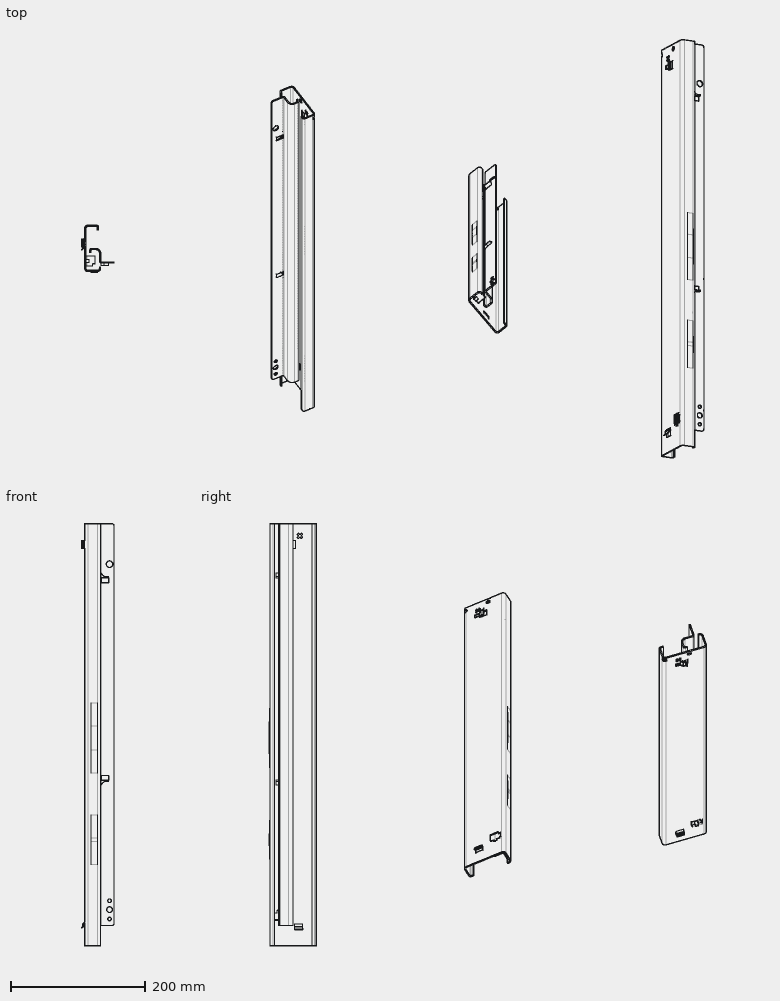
import cadquery as cq
import math

LENGTH = 630.0
SHEET = 2.0
CHANNEL_DEPTH = 69.0
TOP_FLANGE_WIDTH = 21.0
BOTTOM_FLANGE_WIDTH = 24.0
BACK_LIP = 7.0
FRONT_LIP = 7.0
CHANNEL_BEND = 4.0
LIP_BEND = 2.0

RAIL_BOTTOM = 30.0
RAIL_WALL_X = 22.0
RAIL_TIP_X = 44.0
RAIL_PLATE_Y = 12.5
RAIL_BACK_Y = 34.5
CURL_X = 7.5
CURL_LIP_Y = 28.5
RAIL_BEND = 2.0
CURL_BEND = 6.0
PLATE_CORNER = 4.0

RIB_PROFILES = [(258.0, 292.5, 328.0, 362.0), (121.5, 155.5, 161.0, 195.0)]
RIB_HEIGHT = 1.0
RIB_X = (9.5, 19.0)

HOOK_SIZE = 12.0
HOOK_SHEET = 1.0
HOOK_STANDOFF = 3.0
HOOK_REACH = 5.0
HOOK_RAMP = 4.0
HOOK_FLAT = 4.0
HOOK_FLARE = 2.0
LOWER_HOOK_CENTER = (43.0, 30.0)
UPPER_HOOK_CENTER = (36.0, 598.5)
STRAP_LENGTH = 7.5
STRAP_WIDTH = 5.5

PILOT_DIAMETER = 6.0
PILOT_Z = 622.5
PILOT_YS = (28.0, 66.0)
CROSS_CENTER = (45.0, 612.0)
CROSS_SPAN = 9.0
CROSS_ARM = 2.5

WINDOW_Y = (7.0, 24.5)
WINDOW_Z = (40.0, 53.0)
WINDOW_STEP_Y = 11.0
WINDOW_STEP_Z = 49.0
TAB_REACH = 16.0
TAB_NARROW_REACH = 12.0
TAB_Y = (8.0, 23.0)
TAB_STEP_Y = 11.5
TAB_BEND = 4.0
GUSSET_LEG = 6.0
GUSSET_WIDTH = 5.0
GUSSET_Y = 16.0

PLATE_HOLE_X = 37.0
PLATE_HOLES = [(569.5, 9.5), (67.5, 5.0), (54.0, 8.0), (40.5, 5.0)]
SLOT_END_X = 36.0
SLOT_HEIGHT = 7.0
SLOT_TABS = [(545.5, 1), (251.0, -1)]
SLOT_TAB_DROP = 4.0
BRACE_LEG = 5.0


def box(xs, ys, zs):
    """Box between two limits along each axis."""
    size = [limits[1] - limits[0] for limits in (xs, ys, zs)]
    return cq.Workplane("XY").box(*size, centered=False).translate((xs[0], ys[0], zs[0]))


def unit(start, end):
    """Unit vector from one plan point to another."""
    run = math.dist(start, end)
    return ((end[0] - start[0]) / run, (end[1] - start[1]) / run)


def sheet_side(path, bends, offset):
    """One face of a bent sheet: start, (arc start, arc middle, arc end) per right-angle bend, end."""
    first, last = unit(path[0], path[1]), unit(path[-2], path[-1])
    start = (path[0][0] - offset * first[1], path[0][1] + offset * first[0])
    end = (path[-1][0] - offset * last[1], path[-1][1] + offset * last[0])
    arcs = []
    for before, corner, after, bend in zip(path, path[1:], path[2:], bends):
        into, out = unit(before, corner), unit(corner, after)
        turn = into[0] * out[1] - into[1] * out[0]
        radius = bend - turn * offset
        center = [corner[i] + bend * (out[i] - into[i]) for i in (0, 1)]
        arc_start = tuple(center[i] - radius * out[i] for i in (0, 1))
        arc_end = tuple(center[i] + radius * into[i] for i in (0, 1))
        middle = tuple(center[i] + radius * (into[i] - out[i]) / math.sqrt(2) for i in (0, 1))
        arcs.append((arc_start, middle, arc_end))
    return start, arcs, end


def bent_sheet(path, bends, bottom, top):
    """Sheet of constant thickness whose middle surface follows a plan path with rounded bends."""
    left_start, left_arcs, left_end = sheet_side(path, bends, SHEET / 2)
    right_start, right_arcs, right_end = sheet_side(path, bends, -SHEET / 2)
    outline = cq.Workplane("XY").workplane(offset=bottom).moveTo(*left_start)
    for arc_start, middle, arc_end in left_arcs:
        outline = outline.lineTo(*arc_start).threePointArc(middle, arc_end)
    outline = outline.lineTo(*left_end).lineTo(*right_end)
    for arc_start, middle, arc_end in reversed(right_arcs):
        outline = outline.lineTo(*arc_end).threePointArc(middle, arc_start)
    return outline.lineTo(*right_start).close().extrude(top - bottom)


def channel_profile():
    half = SHEET / 2
    back_y = CHANNEL_DEPTH - half
    back_lip_x = TOP_FLANGE_WIDTH - half
    front_lip_x = BOTTOM_FLANGE_WIDTH - half
    path = [
        (back_lip_x, CHANNEL_DEPTH - BACK_LIP),
        (back_lip_x, back_y),
        (half, back_y),
        (half, half),
        (front_lip_x, half),
        (front_lip_x, FRONT_LIP),
    ]
    return bent_sheet(path, [LIP_BEND] + 3 * [CHANNEL_BEND], 0, LENGTH)


def front_rib(profile):
    """Trapezoidal rib standing on the front flange."""
    base_low, crest_low, crest_high, base_high = profile
    return (
        cq.Workplane("YZ")
        .workplane(offset=RIB_X[0])
        .polyline([
            (SHEET / 2, base_low),
            (0, base_low),
            (-RIB_HEIGHT, crest_low),
            (-RIB_HEIGHT, crest_high),
            (0, base_high),
            (SHEET / 2, base_high),
        ])
        .close()
        .extrude(RIB_X[1] - RIB_X[0])
    )


def hook():
    """Hook centred on the origin of the web's outer face, rooted at +Z, its tongue flaring at -Z."""
    half = HOOK_SIZE / 2
    ramp_z = half - HOOK_RAMP
    flat_z = ramp_z - HOOK_FLAT
    tip_z = flat_z - HOOK_FLARE
    return (
        cq.Workplane("XZ")
        .workplane(offset=-half)
        .polyline([
            (SHEET, half),
            (0, half),
            (-HOOK_STANDOFF, ramp_z),
            (-HOOK_STANDOFF, flat_z),
            (-HOOK_REACH, tip_z),
            (HOOK_SHEET - HOOK_REACH, tip_z),
            (HOOK_SHEET - HOOK_STANDOFF, flat_z),
            (HOOK_SHEET - HOOK_STANDOFF, ramp_z),
            (SHEET, ramp_z),
        ])
        .close()
        .extrude(HOOK_SIZE)
    )


def hook_opening():
    """Opening left in the web behind a hook's tongue."""
    half = HOOK_SIZE / 2
    return box((0, SHEET), (-half, half), (-half, half - HOOK_RAMP))


def at_lower_hook(shape):
    return shape.translate((0, *LOWER_HOOK_CENTER))


def at_upper_hook(shape):
    """Turned so that the root is at +Y and the tongue points to -Y."""
    turned = shape.rotate((0, 0, 0), (1, 0, 0), -90)
    return turned.translate((0, *UPPER_HOOK_CENTER))


def hook_strap():
    """Raised strap leading into the root of the upper hook."""
    root_y = UPPER_HOOK_CENTER[0] + HOOK_SIZE / 2
    mid_z = UPPER_HOOK_CENTER[1]
    zs = (mid_z - STRAP_WIDTH / 2, mid_z + STRAP_WIDTH / 2)
    return box((-HOOK_SHEET, SHEET), (root_y, root_y + STRAP_LENGTH), zs)


def pilot_hole(y):
    cutter = cq.Workplane("YZ").center(y, PILOT_Z).circle(PILOT_DIAMETER / 2)
    return cutter.extrude(2 * SHEET)


def cross_hole():
    """Diagonal cross through the web."""
    arms = cq.Workplane("YZ").center(*CROSS_CENTER)
    rising = arms.transformed(rotate=(0, 0, 45)).rect(CROSS_SPAN, CROSS_ARM).extrude(SHEET)
    falling = arms.transformed(rotate=(0, 0, -45)).rect(CROSS_SPAN, CROSS_ARM).extrude(SHEET)
    return rising.union(falling)


def web_window():
    main = box((0, SHEET), (WINDOW_STEP_Y, WINDOW_Y[1]), WINDOW_Z)
    step = box((0, SHEET), (WINDOW_Y[0], WINDOW_STEP_Y), (WINDOW_Z[0], WINDOW_STEP_Z))
    return main.union(step)


def window_tab():
    zs = (WINDOW_Z[0] - SHEET, WINDOW_Z[0])
    wide = box((SHEET, TAB_REACH), (TAB_STEP_Y, TAB_Y[1]), zs)
    narrow = box((SHEET, TAB_NARROW_REACH), (TAB_Y[0], TAB_STEP_Y), zs)
    return wide.union(narrow)


def tab_fold():
    """Material taken off the sharp outer corner to round the fold."""
    ys, top = TAB_Y, WINDOW_Z[0]
    corner = box((0, TAB_BEND), ys, (top - TAB_BEND, top))
    roll = (
        cq.Workplane("XZ", origin=(0, ys[1], 0))
        .center(TAB_BEND, top - TAB_BEND)
        .circle(TAB_BEND)
        .extrude(ys[1] - ys[0])
    )
    return corner.cut(roll)


def tab_gusset(depth):
    """Triangular prism across the fold, set back from the outer corner by the given depth."""
    leg = GUSSET_LEG + depth
    top = WINDOW_Z[0]
    return (
        cq.Workplane("XZ", origin=(0, GUSSET_Y + GUSSET_WIDTH / 2, 0))
        .polyline([(0, top), (leg, top), (0, top - leg)])
        .close()
        .extrude(GUSSET_WIDTH)
    )


def make_channel():
    body = channel_profile()
    for profile in RIB_PROFILES:
        body = body.union(front_rib(profile))
    for place in (at_lower_hook, at_upper_hook):
        body = body.cut(place(hook_opening())).union(place(hook()))
    body = body.union(hook_strap())
    for y in PILOT_YS:
        body = body.cut(pilot_hole(y))
    body = body.cut(cross_hole()).cut(web_window()).union(window_tab()).cut(tab_fold())
    return body.union(tab_gusset(SHEET)).cut(tab_gusset(0))


def rail_profile():
    half = SHEET / 2
    plate_y = RAIL_PLATE_Y + half
    wall_x = RAIL_WALL_X + half
    back_y = RAIL_BACK_Y - half
    path = [
        (RAIL_TIP_X, plate_y),
        (wall_x, plate_y),
        (wall_x, back_y),
        (CURL_X + half, back_y),
        (CURL_X + half, CURL_LIP_Y),
    ]
    body = bent_sheet(path, [RAIL_BEND, CURL_BEND, RAIL_BEND], RAIL_BOTTOM, LENGTH)
    return body.edges("|Y and >X").fillet(PLATE_CORNER)


def plate_hole(z, diameter):
    cutter = cq.Workplane("XZ", origin=(0, RAIL_PLATE_Y + SHEET, 0)).center(PLATE_HOLE_X, z)
    return cutter.circle(diameter / 2).extrude(SHEET)


def slot_tab(mid_z, side):
    """Tab folded forward at one edge of a slot, braced against the wall."""
    edge_z = mid_z + side * SLOT_HEIGHT / 2
    outer_z = edge_z + side * SHEET
    wall_x = RAIL_WALL_X + SHEET
    ys = (RAIL_PLATE_Y - SLOT_TAB_DROP, RAIL_PLATE_Y + SHEET)
    tab = box((wall_x, SLOT_END_X), ys, sorted((edge_z, outer_z)))
    brace = (
        cq.Workplane("XZ", origin=(0, ys[1], 0))
        .polyline([(wall_x, outer_z), (wall_x + BRACE_LEG, outer_z), (wall_x, outer_z + side * BRACE_LEG)])
        .close()
        .extrude(ys[1] - ys[0])
    )
    return tab.union(brace)


def make_rail():
    body = rail_profile()
    slot_xs = (RAIL_WALL_X + SHEET, SLOT_END_X)
    plate_ys = (RAIL_PLATE_Y, RAIL_PLATE_Y + SHEET)
    for z, diameter in PLATE_HOLES:
        body = body.cut(plate_hole(z, diameter))
    for mid_z, side in SLOT_TABS:
        slot_zs = (mid_z - SLOT_HEIGHT / 2, mid_z + SLOT_HEIGHT / 2)
        body = body.cut(box(slot_xs, plate_ys, slot_zs)).union(slot_tab(mid_z, side))
    return body


channel = make_channel()
rail = make_rail()
result = cq.Compound.makeCompound([channel.val(), rail.val()])